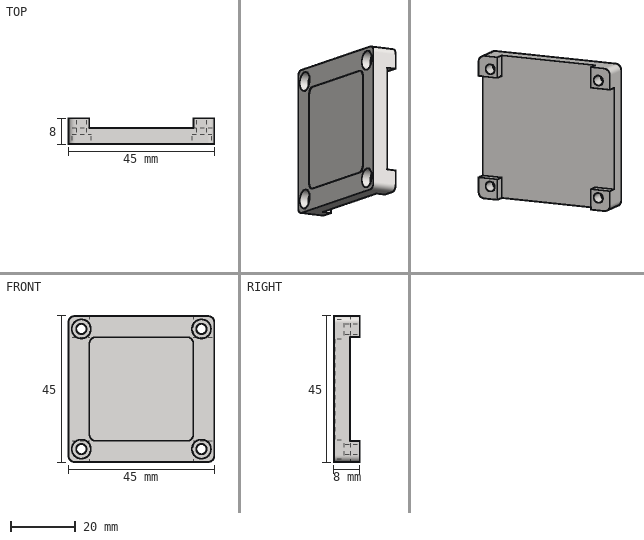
import cadquery as cq

SIDE = 45.0
THICKNESS = 8.0
CORNER_RADIUS = 2.0

CHANNEL_WIDTH = 32.0
CHANNEL_DEPTH = 3.0

PANEL_SIDE = CHANNEL_WIDTH
PANEL_RADIUS = CORNER_RADIUS
PANEL_DEPTH = 0.2

HOLE_SPACING = 37.0
HOLE_DIAMETER = 3.1
COUNTERBORE_DIAMETER = 5.9
COUNTERBORE_DEPTH = 3.0

FRONT_Y = -THICKNESS / 2
BACK_Y = THICKNESS / 2


def rounded_square(side, radius, depth):
    """Block with rounded corners that runs from the front face toward +Y."""
    return (
        cq.Workplane("XZ", origin=(0, FRONT_Y, 0))
        .rect(side, side)
        .extrude(-depth)
        .edges("|Y")
        .fillet(radius)
    )


def back_channels():
    """Cross of two channels, each open at both ends."""
    sketch_plane = cq.Workplane("XZ", origin=(0, BACK_Y, 0))
    upright = sketch_plane.rect(CHANNEL_WIDTH, SIDE).extrude(CHANNEL_DEPTH)
    level = sketch_plane.rect(SIDE, CHANNEL_WIDTH).extrude(CHANNEL_DEPTH)
    return upright.union(level)


def corner_cylinders(diameter, depth):
    """Four cylinders at the screw positions, running from the front face toward +Y."""
    return (
        cq.Workplane("XZ", origin=(0, FRONT_Y, 0))
        .rect(HOLE_SPACING, HOLE_SPACING, forConstruction=True)
        .vertices()
        .circle(diameter / 2)
        .extrude(-depth)
    )


plate = rounded_square(SIDE, CORNER_RADIUS, THICKNESS)
panel_recess = rounded_square(PANEL_SIDE, PANEL_RADIUS, PANEL_DEPTH)
screw_holes = corner_cylinders(HOLE_DIAMETER, THICKNESS)
counterbores = corner_cylinders(COUNTERBORE_DIAMETER, COUNTERBORE_DEPTH)

result = (
    plate
    .cut(back_channels())
    .cut(panel_recess)
    .cut(screw_holes)
    .cut(counterbores)
)